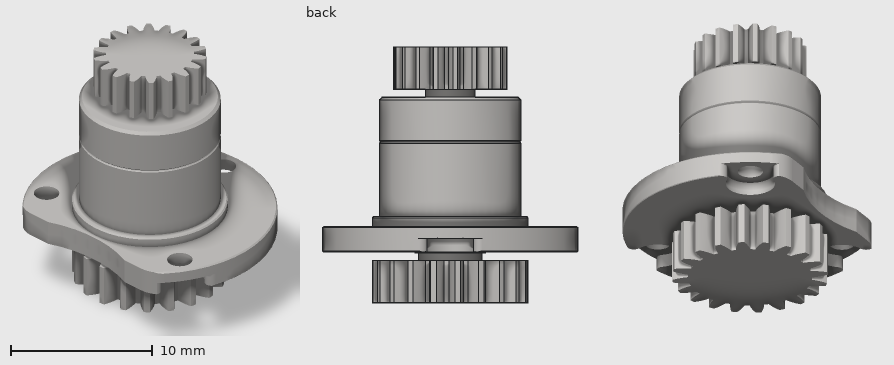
import cadquery as cq
import math

GEAR_WIDTH = 3.0
LOWER_NECK_LENGTH = 0.6
FLANGE_THICKNESS = 1.8
COLLAR_HEIGHT = 0.7
HOUSING_HEIGHT = 5.25
CAP_HEIGHT = 3.15
TOTAL_HEIGHT = 18.05

FLANGE_BOTTOM = GEAR_WIDTH + LOWER_NECK_LENGTH
FLANGE_TOP = FLANGE_BOTTOM + FLANGE_THICKNESS
COLLAR_TOP = FLANGE_TOP + COLLAR_HEIGHT
HOUSING_TOP = COLLAR_TOP + HOUSING_HEIGHT
CAP_TOP = HOUSING_TOP + CAP_HEIGHT
UPPER_GEAR_BOTTOM = TOTAL_HEIGHT - GEAR_WIDTH

COLLAR_DIAMETER = 11.0
HOUSING_DIAMETER = 10.0
CAP_TOP_CHAMFER = 0.2
EDGE_CHAMFER = 0.1
FLANGE_BOTTOM_CHAMFER = 0.05
LOWER_BOSS_DIAMETER = 5.0
LOWER_BOSS_HEIGHT = 0.1
LOWER_SHAFT_DIAMETER = 4.5
UPPER_SHAFT_DIAMETER = 3.5

FLANGE_RADIUS = 9.0
FLAT_Y = -6.5
CORNER_RADIUS = 2.0
RELIEF_RADIUS = 10.0
RELIEF_DEPTH = 0.73

SCREW_CIRCLE_RADIUS = 7.5
SCREW_ANGLES = (90, 210, 330)
SCREW_HOLE_DIAMETER = 1.8
POCKET_RADIUS = 1.75
POCKET_DEPTH = 0.95
POCKET_LIP_RADIUS = 0.5

UPPER_GEAR_MODULE = 0.4
UPPER_GEAR_TEETH = 18
UPPER_GEAR_ANGLE = 15.0
LOWER_GEAR_MODULE = 0.5
LOWER_GEAR_TEETH = 20
LOWER_GEAR_ANGLE = 5.5
DEDENDUM_FACTOR = 1.25
TIP_LAND_SHARE = 0.24
ROOT_LAND_SHARE = 0.25


def polar(radius, degrees):
    angle = math.radians(degrees)
    return (radius * math.cos(angle), radius * math.sin(angle))


def cylinder(diameter, bottom, top):
    return cq.Workplane("XY").workplane(offset=bottom).circle(diameter / 2).extrude(top - bottom)


def gear(module, teeth, first_tooth_angle, bottom):
    """Spur gear with curved flanks that pass through the half-pitch points of the pitch circle."""
    pitch_radius = module * teeth / 2
    tip_radius = pitch_radius + module
    root_radius = pitch_radius - DEDENDUM_FACTOR * module
    pitch_angle = 360 / teeth
    half_tip = TIP_LAND_SHARE * pitch_angle / 2
    half_flank = pitch_angle / 4
    half_base = (1 - ROOT_LAND_SHARE) * pitch_angle / 2

    outline = cq.Workplane("XY").workplane(offset=bottom)
    outline = outline.moveTo(*polar(root_radius, first_tooth_angle - half_base))
    for tooth in range(teeth):
        axis = first_tooth_angle + tooth * pitch_angle
        outline = outline.threePointArc(
            polar(pitch_radius, axis - half_flank), polar(tip_radius, axis - half_tip)
        )
        outline = outline.threePointArc(polar(tip_radius, axis), polar(tip_radius, axis + half_tip))
        outline = outline.threePointArc(
            polar(pitch_radius, axis + half_flank), polar(root_radius, axis + half_base)
        )
        outline = outline.threePointArc(
            polar(root_radius, axis + pitch_angle / 2),
            polar(root_radius, axis + pitch_angle - half_base),
        )
    return outline.close().extrude(GEAR_WIDTH)


def flange_blank():
    """Round plate, chamfered on both rims, with a flat side whose corners are rounded."""
    corner_y = FLAT_Y + CORNER_RADIUS
    corner_reach = FLANGE_RADIUS - CORNER_RADIUS
    corner_x = math.sqrt(corner_reach**2 - corner_y**2)
    rim_scale = FLANGE_RADIUS / corner_reach
    rim_x = corner_x * rim_scale
    rim_y = corner_y * rim_scale
    corner_angle = (math.degrees(math.atan2(corner_y, corner_x)) - 90) / 2
    mid_x, mid_y = polar(CORNER_RADIUS, corner_angle)

    outline = (
        cq.Workplane("XY")
        .workplane(offset=FLANGE_BOTTOM)
        .moveTo(-corner_x, FLAT_Y)
        .lineTo(corner_x, FLAT_Y)
        .threePointArc((corner_x + mid_x, corner_y + mid_y), (rim_x, rim_y))
        .threePointArc((0, FLANGE_RADIUS), (-rim_x, rim_y))
        .threePointArc((-corner_x - mid_x, corner_y + mid_y), (-corner_x, FLAT_Y))
        .close()
    )
    plate = outline.extrude(FLANGE_THICKNESS)
    chamfered_disc = (
        cylinder(2 * FLANGE_RADIUS, FLANGE_BOTTOM, FLANGE_TOP)
        .faces(">Z").edges().chamfer(EDGE_CHAMFER)
        .faces("<Z").edges().chamfer(FLANGE_BOTTOM_CHAMFER)
    )
    return plate.intersect(chamfered_disc)


def relief_cutter():
    """Cylinder that hollows the middle of the flat side."""
    center_y = FLAT_Y + RELIEF_DEPTH - RELIEF_RADIUS
    return cylinder(2 * RELIEF_RADIUS, FLANGE_BOTTOM, FLANGE_TOP).translate((0, center_y, 0))


def screw_cutter():
    """Through hole and head pocket on the +X axis, the pocket mouth flaring into the flange rim."""
    lip_center_radius = FLANGE_RADIUS - POCKET_LIP_RADIUS
    lip_to_screw = POCKET_RADIUS + POCKET_LIP_RADIUS
    lip_x = (lip_center_radius**2 + SCREW_CIRCLE_RADIUS**2 - lip_to_screw**2) / (2 * SCREW_CIRCLE_RADIUS)
    lip_y = math.sqrt(lip_center_radius**2 - lip_x**2)
    rim_x = lip_x * FLANGE_RADIUS / lip_center_radius
    rim_y = lip_y * FLANGE_RADIUS / lip_center_radius
    wall_x = SCREW_CIRCLE_RADIUS + (lip_x - SCREW_CIRCLE_RADIUS) * POCKET_RADIUS / lip_to_screw
    wall_y = lip_y * POCKET_RADIUS / lip_to_screw
    rim_angle = math.degrees(math.atan2(lip_y, lip_x))
    wall_angle = math.degrees(math.atan2(-lip_y, SCREW_CIRCLE_RADIUS - lip_x))
    mid_x, mid_y = polar(POCKET_LIP_RADIUS, (rim_angle + wall_angle) / 2)

    pocket = (
        cq.Workplane("XY")
        .workplane(offset=FLANGE_BOTTOM)
        .moveTo(rim_x, rim_y)
        .threePointArc((lip_x + mid_x, lip_y + mid_y), (wall_x, wall_y))
        .threePointArc((SCREW_CIRCLE_RADIUS - POCKET_RADIUS, 0), (wall_x, -wall_y))
        .threePointArc((lip_x + mid_x, -lip_y - mid_y), (rim_x, -rim_y))
        .threePointArc((FLANGE_RADIUS, 0), (rim_x, rim_y))
        .close()
        .extrude(POCKET_DEPTH)
    )
    hole = cylinder(SCREW_HOLE_DIAMETER, FLANGE_BOTTOM, FLANGE_TOP).translate((SCREW_CIRCLE_RADIUS, 0, 0))
    return pocket.union(hole)


def flange():
    plate = flange_blank().cut(relief_cutter())
    cutter = screw_cutter()
    for angle in SCREW_ANGLES:
        plate = plate.cut(cutter.rotate((0, 0, 0), (0, 0, 1), angle))
    return plate


def turned_body():
    """Shafts, collar, housing and cap; chamfers leave a V groove between housing and cap."""
    lower_shaft = cylinder(LOWER_SHAFT_DIAMETER, GEAR_WIDTH, FLANGE_BOTTOM)
    lower_boss = cylinder(LOWER_BOSS_DIAMETER, FLANGE_BOTTOM - LOWER_BOSS_HEIGHT, FLANGE_BOTTOM)
    collar = cylinder(COLLAR_DIAMETER, FLANGE_TOP, COLLAR_TOP).faces(">Z").edges().chamfer(EDGE_CHAMFER)
    housing = cylinder(HOUSING_DIAMETER, COLLAR_TOP, HOUSING_TOP).faces(">Z").edges().chamfer(EDGE_CHAMFER)
    cap = (
        cylinder(HOUSING_DIAMETER, HOUSING_TOP, CAP_TOP)
        .faces(">Z").edges().chamfer(CAP_TOP_CHAMFER)
        .faces("<Z").edges().chamfer(EDGE_CHAMFER)
    )
    upper_shaft = cylinder(UPPER_SHAFT_DIAMETER, CAP_TOP, UPPER_GEAR_BOTTOM)
    return lower_shaft.union(lower_boss).union(collar).union(housing).union(cap).union(upper_shaft)


lower_gear = gear(LOWER_GEAR_MODULE, LOWER_GEAR_TEETH, LOWER_GEAR_ANGLE, 0)
upper_gear = gear(UPPER_GEAR_MODULE, UPPER_GEAR_TEETH, UPPER_GEAR_ANGLE, UPPER_GEAR_BOTTOM)

result = flange().union(turned_body()).union(lower_gear).union(upper_gear)